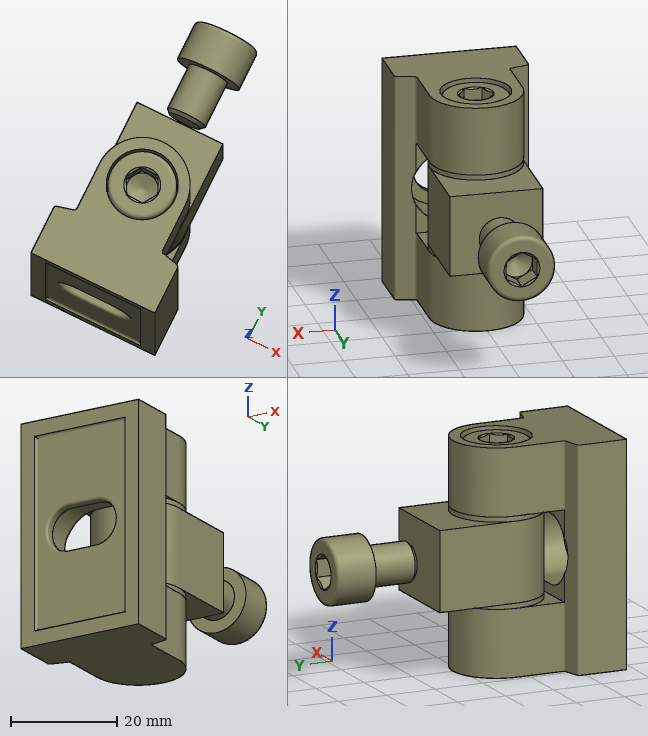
import cadquery as cq
import math


overall_length = 57.0
hinge_to_front = 21.0
front_y = -hinge_to_front

housing_width = 26.0
housing_height = 45.0
arm_radius = 9.0
arm_gap = 18.0
shoulder_height = 10.05
shoulder_slope = 14.0
shoulder_fillet = 0.5
gap_wall_height = 11.1

recess_margin = 3.0
recess_depth = 0.55
recess_fillet = 0.5
slot_width = 9.0
slot_centre_distance = 6.0
slot_edge_fillet = 0.5
slot_counterbore_width = 13.9
slot_counterbore_start = 2.4

block_height = 16.0
block_reach = 16.0

washer_thickness = (arm_gap - block_height) / 2

shank_diameter = 8.0
head_diameter = 13.0
head_height = 8.0
head_fillet = 0.8
tip_chamfer = 0.75
hex_across_flats = 6.0
hex_depth = 4.0
hex_chamfer_diameter = hex_across_flats / math.cos(math.pi / 6)
drill_point_angle = 120.0
hex_chamfer_angle = 120.0
hinge_shank_length = 30.0
clamp_shank_length = 10.05
hinge_screw_turn = -33.0

head_bore_diameter = 13.5
head_sink = 0.5
head_seat_z = housing_height / 2 - head_sink - head_height
hinge_tip_z = head_seat_z - hinge_shank_length


def cylinder(diameter, bottom_z, height):
    """Cylinder on the hinge axis."""
    return cq.Workplane("XY").workplane(offset=bottom_z).circle(diameter / 2).extrude(height)


def front_workplane(depth):
    """Plane at a depth behind the front face; it faces -Y, so negative lengths go into the base."""
    return cq.Workplane(
        cq.Plane(origin=(0, front_y + depth, 0), xDir=(1, 0, 0), normal=(0, -1, 0))
    )


def make_housing_body():
    """T-shaped profile with rounded arms and sloped shoulders."""
    half_width = housing_width / 2
    shoulder_y = front_y + shoulder_height
    shoulder_rise = (half_width - arm_radius) * math.tan(math.radians(shoulder_slope))
    arm_root_y = shoulder_y + shoulder_rise
    return (
        cq.Workplane("XY")
        .workplane(offset=-housing_height / 2)
        .moveTo(-half_width, front_y)
        .lineTo(half_width, front_y)
        .lineTo(half_width, shoulder_y)
        .lineTo(arm_radius, arm_root_y)
        .lineTo(arm_radius, 0)
        .threePointArc((0, arm_radius), (-arm_radius, 0))
        .lineTo(-arm_radius, arm_root_y)
        .lineTo(-half_width, shoulder_y)
        .close()
        .extrude(housing_height)
        .edges(cq.selectors.BoxSelector(
            (-housing_width, shoulder_y - shoulder_fillet, -housing_height),
            (housing_width, arm_root_y + shoulder_fillet, housing_height),
        ))
        .edges("|Z")
        .fillet(shoulder_fillet)
    )


def cut_arm_gap(body):
    """Open the space between the two arms."""
    gap_front_y = front_y + gap_wall_height
    gap_length = arm_radius - gap_front_y
    gap = cq.Workplane("XY").box(housing_width, gap_length, arm_gap)
    return body.cut(gap.translate((0, gap_front_y + gap_length / 2, 0)))


def cut_front_recess(body):
    """Shallow rectangular recess with a rounded floor edge."""
    recess = (
        front_workplane(0)
        .rect(housing_width - 2 * recess_margin, housing_height - 2 * recess_margin)
        .extrude(-recess_depth)
        .faces(">Y")
        .edges()
        .fillet(recess_fillet)
    )
    return body.cut(recess)


def cut_mounting_slot(body):
    """Slot through the base, rounded at the front and counterbored behind."""
    slot_length = slot_centre_distance + slot_width
    slot = (
        front_workplane(recess_depth)
        .slot2D(slot_length, slot_width)
        .extrude(-gap_wall_height)
    )
    body = body.cut(slot)
    rim_y = front_y + recess_depth
    rim = cq.selectors.BoxSelector(
        (-slot_length / 2, rim_y - recess_depth / 2, -slot_width),
        (slot_length / 2, rim_y + recess_depth / 2, slot_width),
    )
    body = body.edges(rim).fillet(slot_edge_fillet)
    counterbore = (
        front_workplane(slot_counterbore_start)
        .slot2D(slot_centre_distance + slot_counterbore_width, slot_counterbore_width)
        .extrude(-(gap_wall_height - slot_counterbore_start))
    )
    return body.cut(counterbore)


def make_housing():
    housing = cut_arm_gap(make_housing_body())
    housing = cut_mounting_slot(cut_front_recess(housing))
    shank_hole = cylinder(shank_diameter, hinge_tip_z, hinge_shank_length)
    head_bore = cylinder(head_bore_diameter, head_seat_z, head_height + head_sink)
    return housing.cut(shank_hole).cut(head_bore)


def make_block():
    """Square-ended block rounded about the hinge axis."""
    return (
        cq.Workplane("XY")
        .workplane(offset=-block_height / 2)
        .moveTo(-arm_radius, block_reach)
        .lineTo(-arm_radius, 0)
        .threePointArc((0, -arm_radius), (arm_radius, 0))
        .lineTo(arm_radius, block_reach)
        .close()
        .extrude(block_height)
        .cut(cylinder(shank_diameter, -block_height / 2, block_height))
    )


def make_washer(bottom_z):
    outer = cylinder(2 * arm_radius, bottom_z, washer_thickness)
    return outer.cut(cylinder(shank_diameter, bottom_z, washer_thickness))


def cone_height(diameter, point_angle):
    return diameter / 2 / math.tan(math.radians(point_angle / 2))


def make_socket():
    """Hexagon socket tool with a drill point and an entry chamfer; head top at Z = head_height."""
    floor_z = head_height - hex_depth
    hexagon = (
        cq.Workplane("XY")
        .workplane(offset=floor_z)
        .polygon(6, hex_across_flats, circumscribed=True)
        .extrude(hex_depth)
    )
    down = cq.Vector(0, 0, -1)
    point = cq.Solid.makeCone(
        hex_across_flats / 2, 0, cone_height(hex_across_flats, drill_point_angle),
        cq.Vector(0, 0, floor_z), down,
    )
    chamfer = cq.Solid.makeCone(
        hex_chamfer_diameter / 2, 0, cone_height(hex_chamfer_diameter, hex_chamfer_angle),
        cq.Vector(0, 0, head_height), down,
    )
    return hexagon.union(cq.Workplane(point)).union(cq.Workplane(chamfer))


def make_cap_screw(shank_length):
    """Socket head screw along Z, with the underside of its head at Z = 0."""
    head = cylinder(head_diameter, 0, head_height).faces(">Z").edges().fillet(head_fillet)
    shank = cylinder(shank_diameter, -shank_length, shank_length)
    shank = shank.faces("<Z").edges().chamfer(tip_chamfer)
    return head.union(shank).cut(make_socket())


housing = make_housing()
block = make_block()
washers = [make_washer(z) for z in (block_height / 2, -arm_gap / 2)]

hinge_screw = (
    make_cap_screw(hinge_shank_length)
    .rotate((0, 0, 0), (0, 0, 1), hinge_screw_turn)
    .translate((0, 0, head_seat_z))
)

clamp_seat_y = front_y + overall_length - head_height
clamp_screw = (
    make_cap_screw(clamp_shank_length)
    .rotate((0, 0, 0), (1, 0, 0), -90)
    .translate((0, clamp_seat_y, 0))
)

result = cq.Compound.makeCompound([
    housing.val(),
    block.val(),
    *[washer.val() for washer in washers],
    hinge_screw.val(),
    clamp_screw.val(),
])